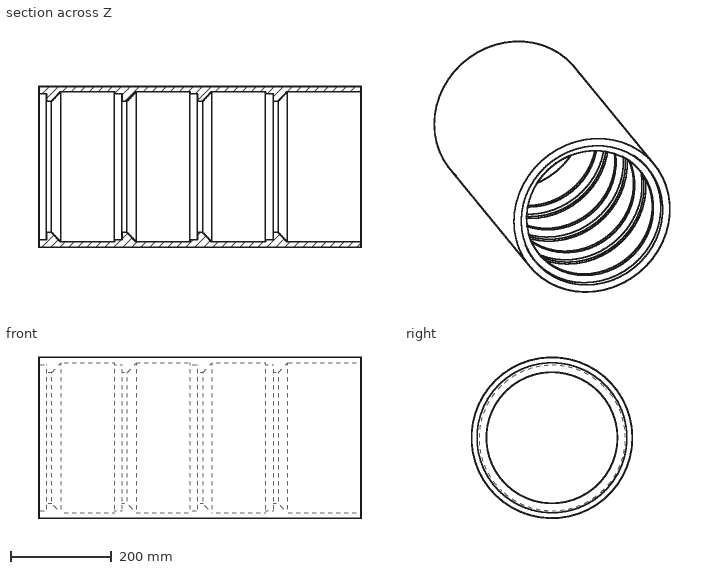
import cadquery as cq

LENGTH = 640.0
SLEEVE_RADIUS = 160.0
LINER_RADIUS = 155.0

BORE_RADIUS = 149.0
SEAT_RADIUS = 145.0
LIP_RADIUS = 130.0
SEAT_DEPTH = 15.0
LIP_LENGTH = 10.0
TAPER_LENGTH = 18.0
RING_LENGTH = SEAT_DEPTH + LIP_LENGTH + TAPER_LENGTH
RING_PITCH = 150.0
RING_COUNT = int((LENGTH - RING_LENGTH) // RING_PITCH) + 1

START_X = -LENGTH / 2


def tube(outer_radius, inner_radius):
    """Full-length tube along X."""
    plane = cq.Workplane("YZ", origin=(START_X, 0, 0))
    return plane.circle(outer_radius).circle(inner_radius).extrude(LENGTH)


def seat_ring(front_x):
    """Ring with a recessed seat, a narrow lip and a taper back out to the bore."""
    seat_x = front_x + SEAT_DEPTH
    lip_end_x = seat_x + LIP_LENGTH
    end_x = front_x + RING_LENGTH
    profile = (
        cq.Workplane("XY")
        .moveTo(front_x, LINER_RADIUS)
        .lineTo(front_x, SEAT_RADIUS)
        .lineTo(seat_x, SEAT_RADIUS)
        .lineTo(seat_x, LIP_RADIUS)
        .lineTo(lip_end_x, LIP_RADIUS)
        .lineTo(end_x, BORE_RADIUS)
        .lineTo(end_x, LINER_RADIUS)
        .close()
    )
    return profile.revolve(360, (0, 0, 0), (1, 0, 0))


liner = tube(LINER_RADIUS, BORE_RADIUS)
for index in range(RING_COUNT):
    liner = liner.union(seat_ring(START_X + index * RING_PITCH))

sleeve = tube(SLEEVE_RADIUS, LINER_RADIUS)
result = sleeve.union(liner, clean=False)